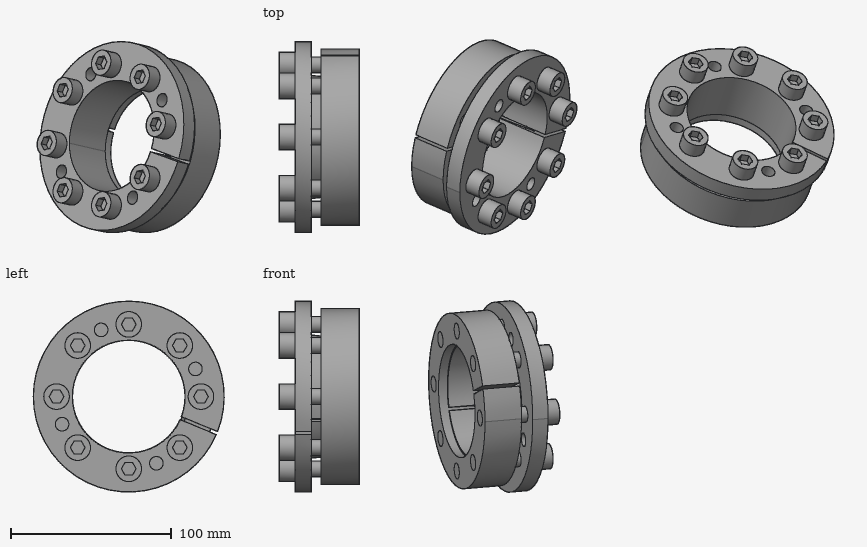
import cadquery as cq
import math


head_length = 10.0
flange_thickness = 10.1
gap = 5.8
ring_length = 24.0
sleeve_end_setback = 6.0

flange_diameter = 118.9
ring_diameter = 109.9
bore_diameter = 69.9
taper_front_radius = 37.8
taper_back_radius = 35.4

slit_width = 2.0
slit_angle = 22.5

screw_count = 8
bolt_circle_diameter = 89.9
shank_diameter = 10.0
head_diameter = 15.9
socket_across_flats = 8.0
socket_depth = 5.0
jack_hole_count = 4
jack_hole_diameter = 8.5
jack_hole_start_angle = 67.5

ring_front_x = flange_thickness + gap
ring_back_x = ring_front_x + ring_length
sleeve_end_x = ring_back_x - sleeve_end_setback
shank_length = ring_back_x
bolt_circle_radius = bolt_circle_diameter / 2
flange_radius = flange_diameter / 2
ring_radius = ring_diameter / 2
bore_radius = bore_diameter / 2
socket_across_corners = socket_across_flats / math.cos(math.radians(30))
taper_slope = (taper_front_radius - taper_back_radius) / ring_length


def taper_radius(x):
    """Radius of the shared taper surface at position x."""
    return taper_front_radius - taper_slope * (x - ring_front_x)


def revolve_about_x(points):
    """Solid of revolution about X from a closed (x, radius) outline."""
    return cq.Workplane("XY").polyline(points).close().revolve(360, (0, 0), (1, 0))


def rod(x, diameter, length, y, z):
    """Cylinder along +X that starts at x and is centred on (y, z)."""
    return cq.Workplane("YZ", origin=(x, y, z)).circle(diameter / 2).extrude(length)


def circle_positions(count, start_angle):
    """Evenly spaced (y, z) points on the bolt circle."""
    angles = [math.radians(start_angle + i * 360 / count) for i in range(count)]
    return [(bolt_circle_radius * math.cos(a), bolt_circle_radius * math.sin(a)) for a in angles]


def axial_holes(positions, diameter, depth):
    """Cutter for holes along X that start at the outer flange face."""
    return cq.Workplane("YZ").pushPoints(positions).circle(diameter / 2).extrude(depth)


def slit(angle):
    """Cutter for a radial slit that leaves the axis at the given angle from +Y."""
    blade = cq.Workplane("XY").box(
        ring_back_x, flange_diameter, slit_width, centered=(False, False, True)
    )
    return blade.rotate((0, 0, 0), (1, 0, 0), angle)


screw_positions = circle_positions(screw_count, 0)
jack_hole_positions = circle_positions(jack_hole_count, jack_hole_start_angle)


def make_sleeve():
    """Flanged taper sleeve with screw holes, jacking holes and one slit."""
    outline = [
        (0, bore_radius),
        (0, flange_radius),
        (flange_thickness, flange_radius),
        (flange_thickness, taper_radius(flange_thickness)),
        (sleeve_end_x, taper_radius(sleeve_end_x)),
        (sleeve_end_x, bore_radius),
    ]
    body = revolve_about_x(outline)
    body = body.cut(axial_holes(screw_positions, shank_diameter, shank_length))
    body = body.cut(axial_holes(jack_hole_positions, jack_hole_diameter, flange_thickness))
    return body.cut(slit(slit_angle + 180))


def make_ring():
    """Clamping ring with a taper bore, screw holes and one slit."""
    outline = [
        (ring_front_x, taper_front_radius),
        (ring_front_x, ring_radius),
        (ring_back_x, ring_radius),
        (ring_back_x, taper_back_radius),
    ]
    body = revolve_about_x(outline)
    body = body.cut(axial_holes(screw_positions, shank_diameter, shank_length))
    return body.cut(slit(slit_angle))


def make_screw(y, z):
    """Socket head cap screw with its head seated on the outer flange face."""
    head = rod(-head_length, head_diameter, head_length, y, z)
    shank = rod(0, shank_diameter, shank_length, y, z)
    socket = (
        cq.Workplane("YZ", origin=(-head_length, y, z))
        .polygon(6, socket_across_corners)
        .extrude(socket_depth)
    )
    return head.union(shank).cut(socket)


sleeve = make_sleeve()
ring = make_ring()
screws = [make_screw(y, z) for y, z in screw_positions]

result = cq.Compound.makeCompound([sleeve.val(), ring.val(), *[screw.val() for screw in screws]])